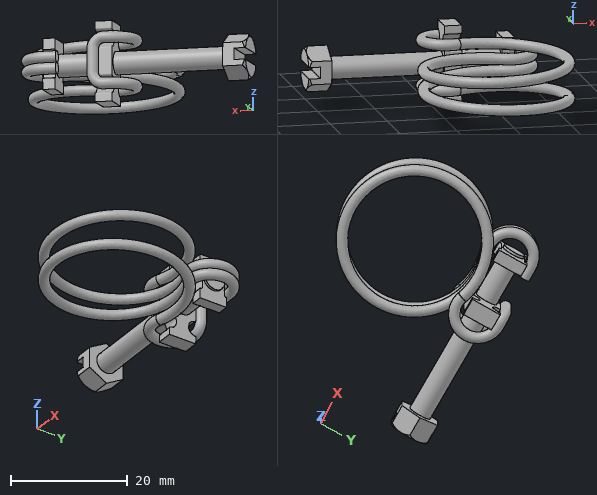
import cadquery as cq
import math


WIRE_RADIUS = 1.0
RING_RADIUS = 12.45
HOOK_RADIUS = 4.05
OUTER_STRAND_Z = 4.0
INNER_STRAND_Z = WIRE_RADIUS
HOOK_X = 5.55
YOKE_LEAD = 0.55
YOKE_BEND_RADIUS = 1.9
TIP_LENGTH = 2.2

HOOK_Y = math.sqrt((RING_RADIUS + HOOK_RADIUS) ** 2 - HOOK_X ** 2)
JOINT_TILT = math.degrees(math.atan2(HOOK_X, HOOK_Y))
STRAIGHT_Y = HOOK_Y + HOOK_RADIUS

BLOCK_WIDTH = 5.5
YOKE_BLOCK_HEIGHT = 14.0
END_BLOCK_HEIGHT = 8.9
YOKE_BLOCK_X = -6.2
YOKE_BLOCK_LENGTH = 3.05
END_BLOCK_X = 3.95
END_BLOCK_LENGTH = 2.18
GROOVE_RADIUS = 1.5
GROOVE_LIP_RADIUS = 0.25
RECESS_DEPTH = 0.5
RECESS_HEIGHT = 4.95
RECESS_CORNER_RADIUS = 0.45

SCREW_Y = STRAIGHT_Y - WIRE_RADIUS - BLOCK_WIDTH / 2
BLOCK_SIDES_Y = (SCREW_Y - BLOCK_WIDTH / 2, SCREW_Y + BLOCK_WIDTH / 2)
SHANK_RADIUS = 2.0
HEAD_X = -30.1
HEAD_LENGTH = 4.0
HEAD_FLATS = 7.0
SHANK_END_X = 6.6
SLOT_WIDTH = 2.0
SLOT_DEPTH = 2.0


def wire_sweep(path, start, direction):
    """Round wire along a path, with its first section square to the given direction."""
    section = cq.Workplane(cq.Plane(origin=start, normal=direction)).circle(WIRE_RADIUS)
    return section.sweep(cq.Workplane(path), isFrenet=True)


def x_cylinder(radius, x_start, length, y, z):
    plane = cq.Plane(origin=(x_start, y, z), xDir=(0, 1, 0), normal=(1, 0, 0))
    return cq.Workplane(plane).circle(radius).extrude(length)


def make_screw():
    corner_radius = HEAD_FLATS / math.sqrt(3)
    head_plane = cq.Plane(origin=(HEAD_X, SCREW_Y, 0), xDir=(0, 0, 1), normal=(1, 0, 0))
    head = cq.Workplane(head_plane).polygon(6, 2 * corner_radius).extrude(HEAD_LENGTH)
    chamfer_cone = (
        x_cylinder(corner_radius, HEAD_X, HEAD_LENGTH, SCREW_Y, 0)
        .faces("<X").chamfer(corner_radius - HEAD_FLATS / 2)
    )
    slot = cq.Workplane().box(2 * SLOT_DEPTH, 2 * HEAD_FLATS, SLOT_WIDTH).translate((HEAD_X, SCREW_Y, 0))
    shank_start = HEAD_X + HEAD_LENGTH
    shank = x_cylinder(SHANK_RADIUS, shank_start, SHANK_END_X - shank_start, SCREW_Y, 0)
    return head.intersect(chamfer_cone).cut(slot).union(shank)


def make_block(x_start, length, height):
    """Plain clamping block with a hole for the screw."""
    block = (
        cq.Workplane()
        .box(length, BLOCK_WIDTH, height)
        .translate((x_start + length / 2, SCREW_Y, 0))
    )
    return block.cut(x_cylinder(SHANK_RADIUS, x_start, length, SCREW_Y, 0))


def make_yoke_block():
    """Tall block with a round-lipped groove beside each strand of the yoke."""
    block = make_block(YOKE_BLOCK_X, YOKE_BLOCK_LENGTH, YOKE_BLOCK_HEIGHT)
    for side_y in BLOCK_SIDES_Y:
        for z in (-OUTER_STRAND_Z, OUTER_STRAND_Z):
            block = block.cut(x_cylinder(GROOVE_RADIUS, YOKE_BLOCK_X, YOKE_BLOCK_LENGTH, side_y, z))
    lip_reach_z = OUTER_STRAND_Z + GROOVE_RADIUS + GROOVE_LIP_RADIUS
    lip_zone = cq.selectors.BoxSelector(
        (YOKE_BLOCK_X, BLOCK_SIDES_Y[0] - GROOVE_LIP_RADIUS, -lip_reach_z),
        (YOKE_BLOCK_X + YOKE_BLOCK_LENGTH, BLOCK_SIDES_Y[1] + GROOVE_LIP_RADIUS, lip_reach_z),
    )
    return block.faces("<Y or >Y").edges("|X").edges(lip_zone).fillet(GROOVE_LIP_RADIUS)


def make_end_block():
    """Short block with one shallow round-cornered recess on each side."""
    block = make_block(END_BLOCK_X, END_BLOCK_LENGTH, END_BLOCK_HEIGHT)
    recess = (
        cq.Workplane()
        .box(END_BLOCK_LENGTH, 2 * RECESS_DEPTH, RECESS_HEIGHT)
        .edges("|X").fillet(RECESS_CORNER_RADIUS)
    )
    for side_y in BLOCK_SIDES_Y:
        block = block.cut(recess.translate((END_BLOCK_X + END_BLOCK_LENGTH / 2, side_y, 0)))
    return block


def hook_point(side, angle, z):
    """Point on a hook arc; the angle opens from -Y towards the outside of the hook."""
    a = math.radians(angle)
    return cq.Vector(
        side * (HOOK_X + HOOK_RADIUS * math.sin(a)), HOOK_Y - HOOK_RADIUS * math.cos(a), z
    )


def make_yoke():
    """Wire hooked round the yoke block above and below, joined by a bridge behind it."""
    joint_top = hook_point(-1, -JOINT_TILT, OUTER_STRAND_Z)
    bend_x = -HOOK_X + YOKE_LEAD
    bridge_x = bend_x + YOKE_BEND_RADIUS
    bridge_z = OUTER_STRAND_Z - YOKE_BEND_RADIUS
    diagonal = YOKE_BEND_RADIUS * math.sqrt(0.5)

    def hook(z):
        return cq.Edge.makeThreePointArc(
            hook_point(-1, -JOINT_TILT, z), hook_point(-1, 90, z), hook_point(-1, 180, z)
        )

    def lead(z):
        return cq.Edge.makeLine(hook_point(-1, 180, z), cq.Vector(bend_x, STRAIGHT_Y, z))

    def corner(sign):
        return cq.Edge.makeThreePointArc(
            cq.Vector(bend_x, STRAIGHT_Y, sign * OUTER_STRAND_Z),
            cq.Vector(bend_x + diagonal, STRAIGHT_Y, sign * (bridge_z + diagonal)),
            cq.Vector(bridge_x, STRAIGHT_Y, sign * bridge_z),
        )

    bridge = cq.Edge.makeLine(
        cq.Vector(bridge_x, STRAIGHT_Y, bridge_z), cq.Vector(bridge_x, STRAIGHT_Y, -bridge_z)
    )
    path = cq.Wire.assembleEdges([
        hook(OUTER_STRAND_Z), lead(OUTER_STRAND_Z), corner(1), bridge,
        corner(-1), lead(-OUTER_STRAND_Z), hook(-OUTER_STRAND_Z),
    ])
    tilt = math.radians(JOINT_TILT)
    return wire_sweep(path, joint_top, (-math.cos(tilt), -math.sin(tilt), 0))


def make_coil(side):
    """One helical turn from the yoke joint towards mid-height, then a hook round the end block.

    The coil is shaped above mid-height (side 1) and mirrored for the one below (side -1).
    """
    sweep_angle = 360 + 2 * JOINT_TILT
    drop = OUTER_STRAND_Z - INNER_STRAND_Z
    start_angle = 90 - JOINT_TILT
    start = hook_point(1, -JOINT_TILT, INNER_STRAND_Z)
    tilt = math.radians(JOINT_TILT)
    helix = (
        cq.Wire.makeHelix(drop * 360 / sweep_angle, drop, RING_RADIUS)
        .rotate(cq.Vector(), cq.Vector(0, 0, 1), start_angle)
        .translate(cq.Vector(0, 0, INNER_STRAND_Z))
    )
    turn = wire_sweep(helix, start, (-math.cos(tilt), math.sin(tilt), 0))

    tip_start = hook_point(1, 180, INNER_STRAND_Z)
    hook = cq.Edge.makeThreePointArc(start, hook_point(1, 90, INNER_STRAND_Z), tip_start)
    tip = cq.Edge.makeLine(tip_start, tip_start - cq.Vector(TIP_LENGTH, 0, 0))
    end_hook = wire_sweep(
        cq.Wire.assembleEdges([hook, tip]), start, (math.cos(tilt), -math.sin(tilt), 0)
    )
    coil = turn.union(end_hook)
    return coil if side == 1 else coil.mirror("XY")


screw = make_screw()
yoke_block = make_yoke_block()
end_block = make_end_block()
yoke = make_yoke()
coils = [make_coil(side) for side in (1, -1)]

result = cq.Compound.makeCompound([
    screw.solids().val(),
    yoke_block.solids().val(),
    end_block.solids().val(),
    yoke.solids().val(),
    *[coil.solids().val() for coil in coils],
])